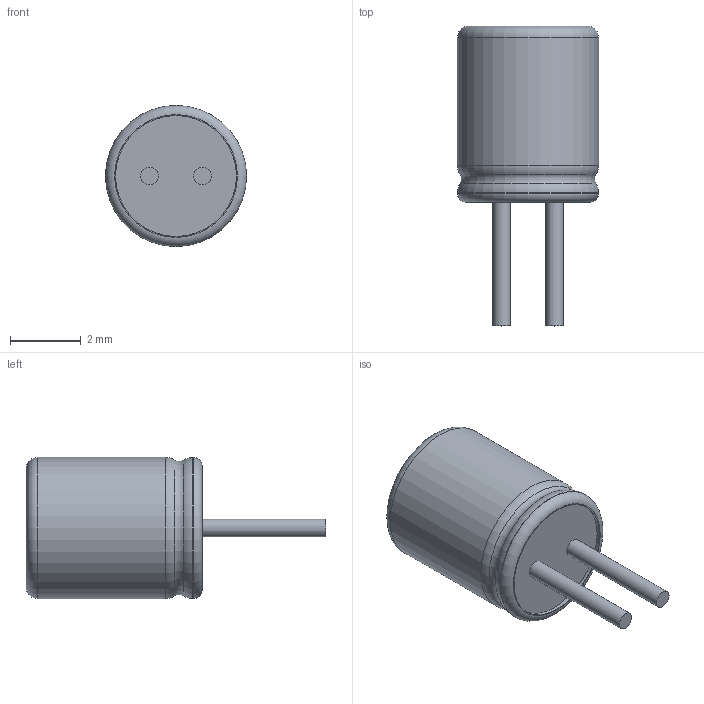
import cadquery as cq
import math


can_diameter = 4.0
can_length = 5.0
can_radius = can_diameter / 2
closed_end_fillet = 0.32
sealed_end_fillet = 0.26

crimp_start = 0.27
crimp_end = 1.05
crimp_depth = 0.11
crimp_arc_span = (crimp_end - crimp_start) / 3
shoulder_drop = crimp_depth * 2 / 3

seal_diameter = 3.43
seal_recess = 0.1

lead_diameter = 0.5
lead_pitch = 1.5
lead_length = 3.5


def make_can():
    """Revolve the half section of the can about the Y axis."""
    valley_edge_radius = can_radius - shoulder_drop
    fillet_end_radius = can_radius - closed_end_fillet
    rim_flat_radius = can_radius - sealed_end_fillet
    arc_midpoint_inset = 1 - math.sqrt(0.5)
    rim_inset = sealed_end_fillet * arc_midpoint_inset
    closed_inset = closed_end_fillet * arc_midpoint_inset

    section = (
        cq.Workplane("XY")
        .moveTo(0, 0)
        .lineTo(rim_flat_radius, 0)
        .threePointArc((can_radius - rim_inset, rim_inset), (can_radius, sealed_end_fillet))
        .lineTo(can_radius, crimp_start)
        .tangentArcPoint((valley_edge_radius, crimp_start + crimp_arc_span), relative=False)
        .tangentArcPoint((valley_edge_radius, crimp_end - crimp_arc_span), relative=False)
        .tangentArcPoint((can_radius, crimp_end), relative=False)
        .lineTo(can_radius, can_length - closed_end_fillet)
        .threePointArc(
            (can_radius - closed_inset, can_length - closed_inset),
            (fillet_end_radius, can_length),
        )
        .lineTo(0, can_length)
        .close()
    )
    return section.revolve(360, (0, 0, 0), (0, 1, 0))


def make_y_cylinder(diameter, start, end, x=0):
    """Cylinder parallel to Y, running from Y = start to Y = end."""
    plane = cq.Workplane("XZ", origin=(x, end, 0))
    return plane.circle(diameter / 2).extrude(end - start)


result = make_can().cut(make_y_cylinder(seal_diameter, 0, seal_recess))

for side in (-1, 1):
    lead = make_y_cylinder(lead_diameter, -lead_length, seal_recess, side * lead_pitch / 2)
    result = result.union(lead)